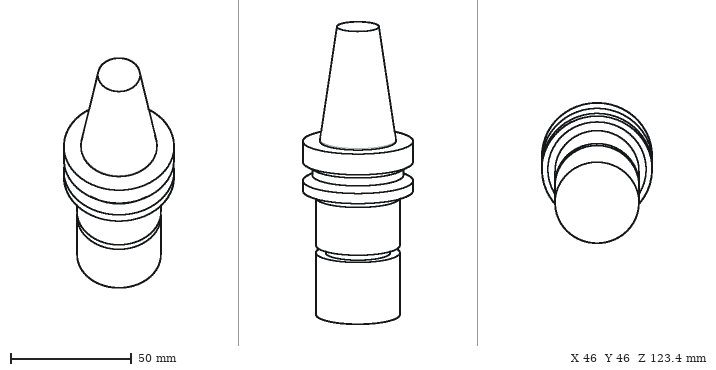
import cadquery as cq
import math

total_height = 123.4
nut_height = 26.5
neck_top = 29.6
body_top = 50.1
flange_bottom = 53.1
groove_lower_edge = 57.4
groove_upper_edge = 65.4
flange_top = 74.3
taper_start = 75.0

nut_diameter = 35.0
neck_diameter = 27.0
body_diameter = nut_diameter
flange_diameter = 46.0
groove_diameter = 38.0
taper_large_diameter = 31.7

groove_wall_angle = 30
groove_depth = (flange_diameter - groove_diameter) / 2
groove_wall_height = groove_depth * math.tan(math.radians(groove_wall_angle))
cone_top_diameter = body_diameter + 2 * (flange_bottom - body_top)

taper_ratio = 7 / 24
taper_small_diameter = taper_large_diameter - taper_ratio * (total_height - taper_start)


def make_holder():
    """Tool holder: neck, body, grooved flange and tapered shank, revolved about Z."""
    outline = [
        (0, nut_height),
        (neck_diameter / 2, nut_height),
        (neck_diameter / 2, neck_top),
        (body_diameter / 2, neck_top),
        (body_diameter / 2, body_top),
        (cone_top_diameter / 2, flange_bottom),
        (flange_diameter / 2, flange_bottom),
        (flange_diameter / 2, groove_lower_edge),
        (groove_diameter / 2, groove_lower_edge + groove_wall_height),
        (groove_diameter / 2, groove_upper_edge - groove_wall_height),
        (flange_diameter / 2, groove_upper_edge),
        (flange_diameter / 2, flange_top),
        (taper_large_diameter / 2, flange_top),
        (taper_large_diameter / 2, taper_start),
        (taper_small_diameter / 2, total_height),
        (0, total_height),
    ]
    return cq.Workplane("XZ").polyline(outline).close().revolve(360, (0, 0), (0, 1))


def make_nut():
    """Cylindrical nut whose top face meets the end of the holder's neck."""
    return cq.Workplane("XY").circle(nut_diameter / 2).extrude(nut_height)


holder = make_holder()
nut = make_nut()

result = cq.Compound.makeCompound([holder.val(), nut.val()])